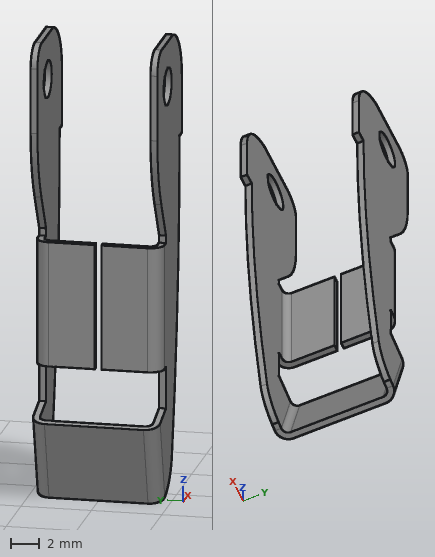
import cadquery as cq
import math

height = 33.0
head_width = 8.3
clip_width = 9.0
sheet = 0.5
bend_radius = 1.0

corner_radius = 1.5
nose_start_x = 5.35
nose_radius = 4.0
step_z = -8.0
step_depth = 0.8
hole_diameter = 2.65
hole_x = 3.5
hole_z = -3.25

shoulder_z = -6.17
shoulder_radius = 10.0
shoulder_angle = math.radians(30)
notch_x = 2.9

back_radius = 99.0
back_end_z = -30.45
toe_radius = 3.15

tab_x = 1.4
tab_top_z = -14.42
tab_height = 9.0
tab_gap = 0.5

web_tilt = 15.0
web_length = 6.0
tilt = math.radians(web_tilt)
web_top_z = -height + web_length * math.cos(tilt)


def web_point(inward, down):
    """Point at a distance inward from the web's outer face and down from its top edge."""
    x = inward * math.cos(tilt) + down * math.sin(tilt)
    z = web_top_z + inward * math.sin(tilt) - down * math.cos(tilt)
    return (x, z)


def channel(length):
    """Bent U section with its outer face at X = 0, running down from Z = 0."""
    leg = bend_radius + sheet
    outer = (
        cq.Workplane("XY")
        .box(2 * leg, clip_width, length)
        .edges("|Z and <X").fillet(bend_radius)
    )
    inner = (
        cq.Workplane("XY")
        .box(2 * leg, clip_width - 2 * sheet, length)
        .edges("|Z and <X").fillet(bend_radius - sheet)
        .translate((sheet, 0, 0))
    )
    legs_only = cq.Workplane("XY").box(leg, clip_width, length).translate((leg / 2, 0, -length / 2))
    return outer.cut(inner).translate((leg, 0, -length / 2)).intersect(legs_only)


def side_plates():
    """Both side plates, cut from one block that has the outline of the plate."""
    nose_center_x = head_width - nose_radius
    nose_center_z = -math.sqrt(nose_radius**2 - (nose_start_x - nose_center_x) ** 2)
    nose_mid_angle = math.radians(40)
    nose_mid = (
        nose_center_x + nose_radius * math.cos(nose_mid_angle),
        nose_center_z + nose_radius * math.sin(nose_mid_angle),
    )

    def back_point(z):
        drop = step_z - z
        return (head_width - step_depth - back_radius + math.sqrt(back_radius**2 - drop**2), z)

    def shoulder_point(angle):
        return (shoulder_radius * (1 - math.cos(angle)), shoulder_z - shoulder_radius * math.sin(angle))

    slope_x, slope_z = shoulder_point(shoulder_angle)
    slope_end_z = slope_z - (notch_x - slope_x) / math.tan(shoulder_angle)
    tab_bend_x = tab_x + bend_radius
    tab_bottom_z = tab_top_z - tab_height
    notch_bottom_z = web_top_z + notch_x * math.tan(tilt)
    corner_mid = corner_radius * (1 - math.sqrt(0.5))

    outline = (
        cq.Workplane("XZ")
        .moveTo(corner_radius, 0)
        .lineTo(nose_start_x, 0)
        .threePointArc(nose_mid, (head_width, nose_center_z))
        .lineTo(head_width, step_z)
        .lineTo(*back_point(step_z))
        .threePointArc(back_point((step_z + back_end_z) / 2), back_point(back_end_z))
        .radiusArc(web_point(bend_radius, web_length), toe_radius)
        .lineTo(*web_point(bend_radius, 0))
        .lineTo(notch_x, notch_bottom_z)
        .lineTo(notch_x, tab_bottom_z)
        .lineTo(tab_bend_x, tab_bottom_z)
        .lineTo(tab_bend_x, tab_top_z)
        .lineTo(notch_x, tab_top_z)
        .lineTo(notch_x, slope_end_z)
        .lineTo(slope_x, slope_z)
        .threePointArc(shoulder_point(shoulder_angle / 2), (0, shoulder_z))
        .lineTo(0, -corner_radius)
        .threePointArc((corner_mid, -corner_mid), (corner_radius, 0))
        .close()
    )
    block = outline.extrude(clip_width / 2, both=True)
    hole = (
        cq.Workplane("XZ")
        .center(hole_x, hole_z)
        .circle(hole_diameter / 2)
        .extrude(clip_width, both=True)
    )
    space_between = cq.Workplane("XY").box(4 * head_width, clip_width - 2 * sheet, 4 * height)
    return block.cut(hole).cut(space_between)


def split_tabs():
    gap = cq.Workplane("XY").box(head_width, tab_gap, 2 * height)
    return channel(tab_height).cut(gap).translate((tab_x, 0, tab_top_z))


def lower_web():
    return channel(web_length).rotate((0, 0, 0), (0, 1, 0), -web_tilt).translate((0, 0, web_top_z))


result = side_plates().union(split_tabs()).union(lower_web())